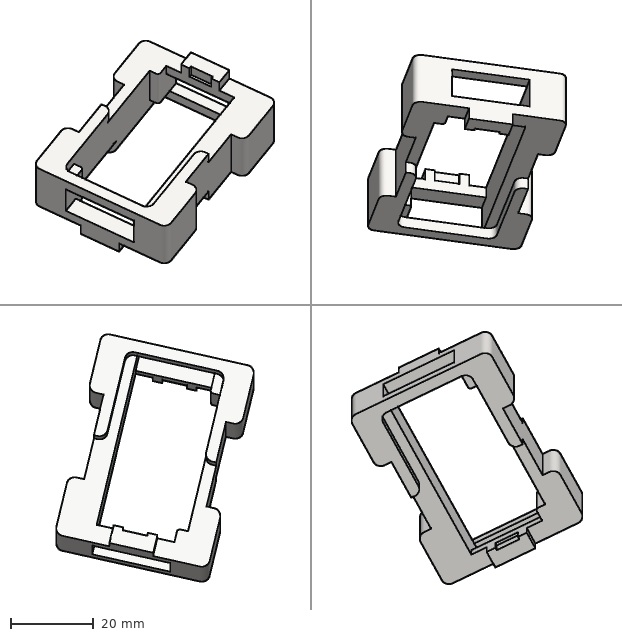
import cadquery as cq

length = 51.0
width = 38.1
height = 17.0

step_height = 3.05
low_top = height - step_height

waist_width = 30.4
waist_length = 20.9
corner_radius = 2.0

cavity_length = 41.8
cavity_left = -12.25
cavity_right = 9.65
stop_length = 3.4
stop_radius = 0.75

pocket_half_width = 12.25
pocket_end = 22.5

window_width = 2 * cavity_right
window_height = 7.9

tab_width = 10.9
tab_length = 4.6
recess_width = 6.1
recess_depth = 0.7


def block(x_min, x_max, y_min, y_max, z_min, z_max):
    """Box given by its limits along each axis."""
    size = (x_max - x_min, y_max - y_min, z_max - z_min)
    return cq.Workplane("XY").box(*size, centered=False).translate((x_min, y_min, z_min))


def half_turn(shape):
    """Turn a shape half a turn about the X axis through the part centre."""
    return shape.rotate((0, 0, height / 2), (1, 0, height / 2), 180)


def make_body():
    """Two rounded end lobes joined by a narrower waist."""
    lobe_length = (length - waist_length) / 2
    body = cq.Workplane("XY").box(waist_width, length - lobe_length, height, centered=(True, True, False))
    for side in (-1, 1):
        lobe = cq.Workplane("XY").box(width, lobe_length, height, centered=(True, True, False))
        lobe = lobe.edges("|Z").fillet(corner_radius)
        body = body.union(lobe.translate((0, side * (length - lobe_length) / 2, 0)))
    return body


def make_cavity():
    """Through opening, narrowed on the left by a stop at each end."""
    cavity = block(cavity_left, cavity_right, -cavity_length / 2, cavity_length / 2, 0, height)
    stop = make_stop()
    return cavity.cut(stop).cut(half_turn(stop))


def make_stop():
    """Front stop inside the cavity, with its free corner rounded."""
    front = -cavity_length / 2
    stop = block(cavity_left, -cavity_right, front, front + stop_length, 0, height)
    return stop.edges("|Z and >X and >Y").fillet(stop_radius)


def make_rim_relief():
    """Space removed at the top: the back half outside the tab, and the rim pocket in front."""
    back = block(-width / 2, width / 2, 0, length / 2, low_top, height)
    tab = block(-tab_width / 2, tab_width / 2, length / 2 - tab_length, length / 2, low_top, height)

    pocket = block(-pocket_half_width, pocket_half_width, -pocket_end, 0, low_top, height)
    pocket = pocket.edges("|Z and <Y").fillet(corner_radius)

    relief = back.cut(tab).union(pocket)
    for side in (-1, 1):
        inner_x = side * pocket_half_width
        outer_x = side * (pocket_half_width + corner_radius)
        flare = (
            cq.Workplane("XY", origin=(0, 0, low_top))
            .moveTo(inner_x, 0)
            .lineTo(inner_x, -corner_radius)
            .radiusArc((outer_x, 0), side * corner_radius)
            .close()
            .extrude(step_height)
        )
        relief = relief.union(flare)
    return relief


def make_window():
    """Opening through the front end wall, reaching up to the foot of the rim."""
    return block(
        -window_width / 2, window_width / 2,
        -length / 2, -cavity_length / 2,
        low_top - window_height, low_top,
    )


def make_recess():
    """Catch recess in the inner face of the back tab, open at the top."""
    inner_face = length / 2 - tab_length
    return block(
        -recess_width / 2, recess_width / 2,
        inner_face, inner_face + recess_depth,
        low_top, height,
    )


result = make_body().cut(make_cavity())
for cutter in (make_rim_relief(), make_window(), make_recess()):
    result = result.cut(cutter).cut(half_turn(cutter))